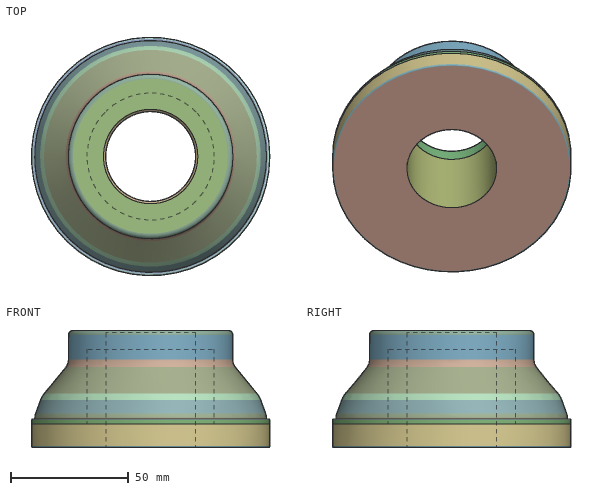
import cadquery as cq

base_radius = 50.8
total_height = 50.0
bottom_z = -total_height / 2
top_z = total_height / 2

disc_height = 10.1
bottom_fillet = 0.6
bore_radius = 19.1
lip_thickness = 8.1
neck_radius = 35.1
hub_radius = (bore_radius + neck_radius) / 2

rim_height = 12.3
rim_fillet = 0.7
dome_radius = 49.4
dome_foot_height = 13.6
dome_foot_fillet = 5.0
knee_radius = 46.4
knee_height = 21.7
knee_fillet = 10.0
neck_foot_height = 35.6
neck_foot_fillet = 5.0
neck_top_fillet = 2.0
bore_chamfer = 1.0

disc_top_z = bottom_z + disc_height
hub_top_z = top_z - lip_thickness


def cylinder(radius, start_z, end_z):
    return cq.Workplane("XY").workplane(offset=start_z).circle(radius).extrude(end_z - start_z)


def fillet_ring(body, height, radius):
    """Round the circular edge whose centre lies at this height on the axis."""
    ring = cq.selectors.NearestToPointSelector((0, 0, bottom_z + height))
    return body.edges(ring).fillet(radius)


def make_core():
    disc = cylinder(base_radius, bottom_z, disc_top_z).faces("<Z").edges().fillet(bottom_fillet)
    hub = cylinder(hub_radius, disc_top_z, hub_top_z)
    bore = cylinder(bore_radius, bottom_z, hub_top_z)
    return disc.union(hub).cut(bore)


def make_cover():
    outline = [
        (0, bottom_z + rim_height),
        (dome_radius, bottom_z + rim_height),
        (dome_radius, bottom_z + dome_foot_height),
        (knee_radius, bottom_z + knee_height),
        (neck_radius, bottom_z + neck_foot_height),
        (neck_radius, top_z),
        (0, top_z),
    ]
    dome = cq.Workplane("XZ").polyline(outline).close().revolve(360, (0, 0, 0), (0, 1, 0))

    dome = fillet_ring(dome, dome_foot_height, dome_foot_fillet)
    dome = fillet_ring(dome, neck_foot_height, neck_foot_fillet)
    dome = fillet_ring(dome, knee_height, knee_fillet)
    dome = fillet_ring(dome, total_height, neck_top_fillet)

    rim = cylinder(base_radius, disc_top_z, bottom_z + rim_height)
    rim = rim.faces(">Z").edges().fillet(rim_fillet)
    cover = rim.union(dome)

    cover = cover.cut(cylinder(hub_radius, disc_top_z, hub_top_z))
    cover = cover.cut(cylinder(bore_radius, hub_top_z, top_z))
    return cover.faces(">Z").edges(cq.selectors.RadiusNthSelector(0)).chamfer(bore_chamfer)


core = make_core()
cover = make_cover()
result = cq.Compound.makeCompound([core.val(), cover.val()])